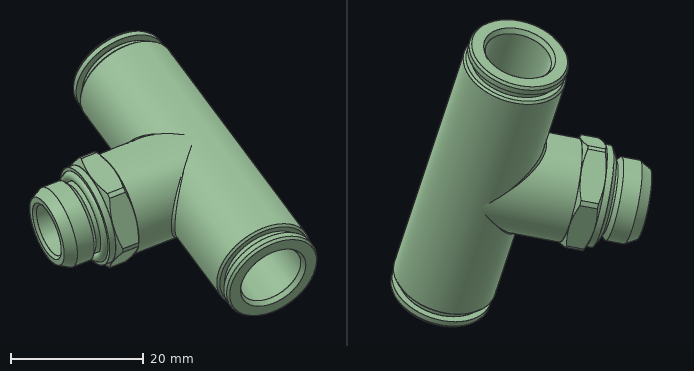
import cadquery as cq
import math

body_radius = 16.0 / 2
body_half_length = 22.05
body_end_chamfer = 0.35
crotch_chamfer = 0.4
blend_top_gap = 0.05

run_half_length = 24.8
neck_radius = 6.85
neck_chamfer = 0.2
collar_radius = 15.55 / 2
collar_length = 1.35
collar_chamfer_length = 0.45
collar_chamfer_height = 0.3
run_bore_radius = 5.15
run_bore_depth = 14.9
bore_chamfer = 0.45
run_bore_chamfer_length = 0.8

overall_depth = 33.5
stem_length = overall_depth - body_radius
hex_start = 14.0
hex_end = 17.9
hex_corner_radius = 9.05
hex_chamfer_drop = 1.1
hex_chamfer_length = 0.6
flange_radius = 7.9
flange_end = 18.95
ring_section_radius = 0.8
ring_radius = 6.55
ring_center = 18.85
groove_radius = 5.75
groove_end = 20.15
thread_radius = 12.95 / 2
thread_start = 20.85
thread_end = 23.7
thread_tip_radius = 5.5
stem_bore_radius = 4.1
stem_bore_depth = 14.9


def turned_about_x(points):
    """Solid of revolution about X from (x, radius) points."""
    return cq.Workplane("XY").polyline(points).close().revolve(360, (0, 0, 0), (1, 0, 0))


def turned_about_y(points):
    """Solid of revolution about Y from (radius, distance along -Y) points."""
    outline = [(radius, -distance) for radius, distance in points]
    return cq.Workplane("XY").polyline(outline).close().revolve(360, (0, 0, 0), (0, 1, 0))


def run():
    """Straight body with a neck and collar at both ends."""
    collar_start = run_half_length - collar_length
    right_side = [
        (body_half_length - body_end_chamfer, body_radius),
        (body_half_length, body_radius - body_end_chamfer),
        (body_half_length, neck_radius),
        (collar_start - neck_chamfer, neck_radius),
        (collar_start, neck_radius - neck_chamfer),
        (collar_start, collar_radius),
        (run_half_length - collar_chamfer_length, collar_radius),
        (run_half_length, collar_radius - collar_chamfer_height),
        (run_half_length, 0),
    ]
    left_side = [(-x, radius) for x, radius in reversed(right_side)]
    return turned_about_x(right_side + left_side)


def run_bore():
    """Blind bore with a chamfered mouth on the +X side."""
    return turned_about_x([
        (run_half_length - run_bore_depth, 0),
        (run_half_length - run_bore_depth, run_bore_radius),
        (run_half_length - run_bore_chamfer_length, run_bore_radius),
        (run_half_length, run_bore_radius + bore_chamfer),
        (run_half_length, 0),
    ])


def crotch_blend():
    """Elliptic wedge that bevels the +X crotch and narrows to nothing at the top and bottom."""
    reach = (2 * body_radius + crotch_chamfer) / math.sqrt(2)
    across_bar = cq.Plane(origin=(0, 0, 0), xDir=(1, -1, 0), normal=(1, 1, 0))
    bar = (
        cq.Workplane(across_bar)
        .ellipse(reach, body_radius - blend_top_gap)
        .extrude(body_radius, both=True)
    )
    far = body_radius + 2 * crotch_chamfer
    near = body_radius - crotch_chamfer
    wedge = (
        cq.Workplane("XY")
        .polyline([(0, 0), (far, -near), (far, -far), (near, -far)])
        .close()
        .extrude(body_radius, both=True)
    )
    return bar.intersect(wedge)


def hex_collar():
    """Hexagon with flats at +Z and -Z, its corners turned down and chamfered."""
    across_corners = 4 * body_radius / math.sqrt(3)
    hexagon = (
        cq.Workplane("XZ", origin=(0, -hex_start, 0))
        .polygon(6, across_corners)
        .extrude(hex_end - hex_start)
    )
    envelope = turned_about_y([
        (0, hex_start),
        (hex_corner_radius - hex_chamfer_drop, hex_start),
        (hex_corner_radius, hex_start + hex_chamfer_length),
        (hex_corner_radius, hex_end - hex_chamfer_length),
        (hex_corner_radius - hex_chamfer_drop, hex_end),
        (0, hex_end),
    ])
    return hexagon.intersect(envelope)


def stem():
    """Stem, flange, groove and thread blank."""
    return turned_about_y([
        (0, 0),
        (body_radius, 0),
        (body_radius, hex_start),
        (flange_radius, hex_start),
        (flange_radius, flange_end),
        (groove_radius, flange_end),
        (groove_radius, groove_end),
        (thread_radius, thread_start),
        (thread_radius, thread_end),
        (thread_tip_radius, stem_length),
        (0, stem_length),
    ])


def seal_ring():
    """O-ring seated against the flange."""
    return (
        cq.Workplane("XY")
        .center(ring_radius, -ring_center)
        .circle(ring_section_radius)
        .revolve(360, (-ring_radius, 0, 0), (-ring_radius, 1, 0))
    )


def stem_bore():
    """Blind bore with a chamfered mouth at the thread end."""
    return turned_about_y([
        (0, stem_length - stem_bore_depth),
        (stem_bore_radius, stem_length - stem_bore_depth),
        (stem_bore_radius, stem_length - bore_chamfer),
        (stem_bore_radius + bore_chamfer, stem_length),
        (0, stem_length),
    ])


def with_mirror(shape):
    """The shape joined with its mirror image across the YZ plane."""
    return shape.union(shape.mirror("YZ"))


result = run().union(stem()).union(with_mirror(crotch_blend()))
result = result.union(hex_collar()).union(seal_ring())
result = result.cut(with_mirror(run_bore())).cut(stem_bore())